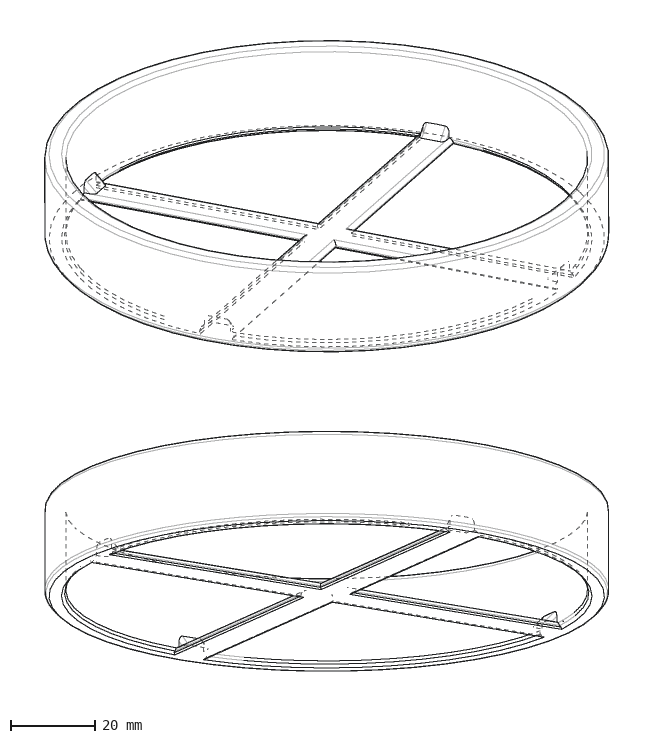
import cadquery as cq

outer_diameter = 134.0
bore_diameter = 124.0
ring_height = 22.0
edge_round = 1.0
foot_bevel = 1.03

arm_width = 8.8
arm_thickness = 1.7
arm_bevel = 0.4
ramp_run = 3.0
ramp_rise = 3.0

bore_radius = bore_diameter / 2
wall_thickness = (outer_diameter - bore_diameter) / 2
ramp_width = arm_width - 2 * edge_round
embedded_radius = bore_radius + wall_thickness / 2


def make_ring():
    """Ring with rounded upper rims and bevelled lower rims blending into the walls."""
    ring = (
        cq.Workplane("XY")
        .circle(outer_diameter / 2)
        .circle(bore_radius)
        .extrude(ring_height)
        .faces(">Z")
        .edges()
        .fillet(edge_round)
        .faces("<Z")
        .edges()
        .chamfer(foot_bevel)
    )
    bevel_top = cq.selectors.BoxSelector(
        (-outer_diameter, -outer_diameter, foot_bevel / 2),
        (outer_diameter, outer_diameter, ring_height / 2),
    )
    return ring.edges("%CIRCLE").edges(bevel_top).fillet(edge_round)


def make_cross():
    """Two crossing flat arms with rounded upper and bevelled lower edges."""
    length = 2 * embedded_radius
    along_x = cq.Workplane("XY").box(length, arm_width, arm_thickness, centered=(True, True, False))
    along_y = along_x.rotate((0, 0, 0), (0, 0, 1), 90)
    cross = along_x.union(along_y)
    return cross.faces("<Z").edges().chamfer(arm_bevel).faces(">Z").edges().fillet(edge_round)


def make_ramp():
    """Sloping block at the +X arm end, rising to the bore wall."""
    ramp_start = bore_radius - ramp_run
    ramp_top = arm_thickness + ramp_rise
    ramp = (
        cq.Workplane("XZ")
        .moveTo(ramp_start, arm_bevel)
        .lineTo(ramp_start, arm_thickness)
        .lineTo(bore_radius, ramp_top)
        .lineTo(embedded_radius, ramp_top)
        .lineTo(embedded_radius, arm_bevel)
        .close()
        .extrude(ramp_width / 2, both=True)
    )
    sloping_face = ramp.faces(cq.selectors.BoxSelector(
        (ramp_start, -ramp_width, arm_thickness), (bore_radius, ramp_width, ramp_top)))
    return sloping_face.edges("not |Y").fillet(edge_round)


result = make_ring().union(make_cross())
ramp = make_ramp()
for angle in (0, 90, 180, 270):
    result = result.union(ramp.rotate((0, 0, 0), (0, 0, 1), angle))